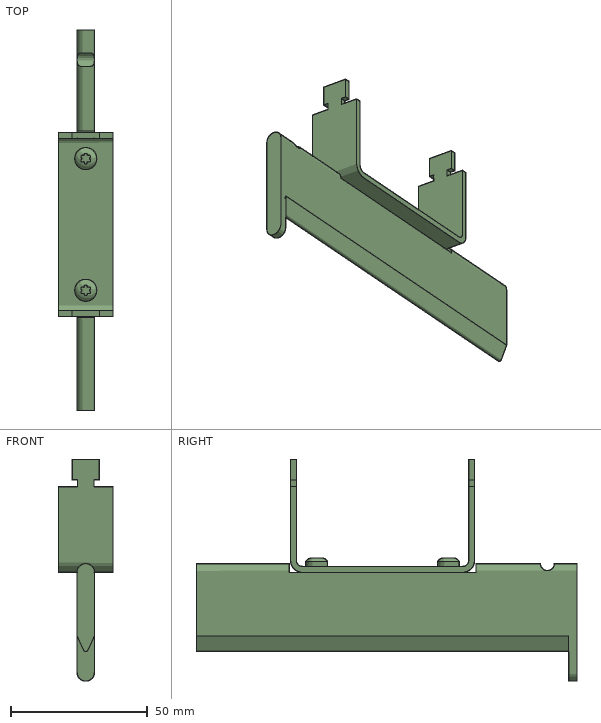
import cadquery as cq
import math

BAR_LENGTH = 139.0
BAR_WIDTH = 6.4
BAR_TOP = 43.0
BEVEL_TOP = 16.5
BEVEL_BOTTOM = 10.8
BEVEL_ANGLE = 25.0
LEG_THICKNESS = 3.0

NOTCH_RADIUS = 2.5
NOTCH_FROM_BACK = 10.8

BRACKET_WIDTH = 20.0
BRACKET_LENGTH = 67.3
BRACKET_CENTER = 68.0
SHEET = 2.2
BEND_RADIUS = 2.1
BRACKET_TOP = 81.0
SHOULDER_HEIGHT = 71.0
TAB_BOTTOM = 73.5
TAB_WIDTH = 10.0
NECK_WIDTH = 6.1
SEAT_CLEARANCE = 0.4

SCREW_SPACING = 48.1
HEAD_RADIUS = 4.0
HEAD_RIM = 1.7
HEAD_HEIGHT = 3.0
HEAD_FLAT_RADIUS = 2.1
DOME_BULGE = 0.21
SOCKET_RADIUS = 2.0
LOBE_RADIUS = 0.5
SOCKET_DEPTH = 1.7
LOBES = 6

HALF_WIDTH = BAR_WIDTH / 2
SEAT_HEIGHT = BAR_TOP - HALF_WIDTH
PLATE_TOP = SEAT_HEIGHT + SHEET


def make_bar():
    """Round-topped bar with a bevelled, rounded lower edge and a round-ended leg at the back."""
    sine = math.sin(math.radians(BEVEL_ANGLE))
    cosine = math.cos(math.radians(BEVEL_ANGLE))
    nose_radius = (HALF_WIDTH * cosine - (BEVEL_TOP - BEVEL_BOTTOM) * sine) / (1 - sine)
    tangent_x = nose_radius * cosine
    tangent_z = BEVEL_BOTTOM + nose_radius * (1 - sine)
    blade = (
        cq.Workplane("XZ")
        .moveTo(-HALF_WIDTH, BEVEL_TOP)
        .lineTo(-HALF_WIDTH, SEAT_HEIGHT)
        .threePointArc((0, BAR_TOP), (HALF_WIDTH, SEAT_HEIGHT))
        .lineTo(HALF_WIDTH, BEVEL_TOP)
        .lineTo(tangent_x, tangent_z)
        .threePointArc((0, BEVEL_BOTTOM), (-tangent_x, tangent_z))
        .close()
        .extrude(-BAR_LENGTH)
    )
    leg = (
        cq.Workplane("XZ", origin=(0, BAR_LENGTH, 0))
        .center(0, BAR_TOP / 2)
        .slot2D(BAR_TOP, BAR_WIDTH, 90)
        .extrude(LEG_THICKNESS)
    )
    return blade.union(leg)


def make_notch():
    """Cross groove in the bar's rounded top."""
    return (
        cq.Workplane("YZ")
        .center(BAR_LENGTH - NOTCH_FROM_BACK, BAR_TOP)
        .circle(NOTCH_RADIUS)
        .extrude(HALF_WIDTH, both=True)
    )


def make_seat():
    """Flat recess in the bar's top that receives the bracket."""
    return (
        cq.Workplane("XY", origin=(0, BRACKET_CENTER, SEAT_HEIGHT))
        .rect(BAR_WIDTH, BRACKET_LENGTH + 2 * SEAT_CLEARANCE)
        .extrude(HALF_WIDTH)
    )


def make_bracket():
    """Bent U-shaped sheet whose upright ends carry necked tabs."""
    height = BRACKET_TOP - SEAT_HEIGHT
    block = (
        cq.Workplane("XY", origin=(0, BRACKET_CENTER, SEAT_HEIGHT))
        .rect(BRACKET_WIDTH, BRACKET_LENGTH)
        .extrude(height)
        .edges("|X and <Z")
        .fillet(BEND_RADIUS + SHEET)
    )
    hollow = (
        cq.Workplane("XY", origin=(0, BRACKET_CENTER, PLATE_TOP))
        .rect(BRACKET_WIDTH, BRACKET_LENGTH - 2 * SHEET)
        .extrude(height)
        .edges("|X and <Z")
        .fillet(BEND_RADIUS)
    )
    bracket = block.cut(hollow)
    for side in (-1, 1):
        relief = (
            cq.Workplane("XZ", origin=(0, BRACKET_CENTER, 0))
            .moveTo(side * BRACKET_WIDTH / 2, SHOULDER_HEIGHT)
            .lineTo(side * NECK_WIDTH / 2, SHOULDER_HEIGHT)
            .lineTo(side * NECK_WIDTH / 2, TAB_BOTTOM)
            .lineTo(side * TAB_WIDTH / 2, TAB_BOTTOM)
            .lineTo(side * TAB_WIDTH / 2, BRACKET_TOP)
            .lineTo(side * BRACKET_WIDTH / 2, BRACKET_TOP)
            .close()
            .extrude(BRACKET_LENGTH / 2, both=True)
        )
        bracket = bracket.cut(relief)
    return bracket


def make_screw_head():
    """Domed head with a six-lobed socket, standing on the XY plane."""
    dome_middle = (
        (HEAD_RADIUS + HEAD_FLAT_RADIUS) / 2 + DOME_BULGE,
        (HEAD_RIM + HEAD_HEIGHT) / 2 + DOME_BULGE,
    )
    head = (
        cq.Workplane("XZ")
        .lineTo(HEAD_RADIUS, 0)
        .lineTo(HEAD_RADIUS, HEAD_RIM)
        .threePointArc(dome_middle, (HEAD_FLAT_RADIUS, HEAD_HEIGHT))
        .lineTo(0, HEAD_HEIGHT)
        .close()
        .revolve(360, (0, 0), (0, 1))
    )
    socket_plane = cq.Workplane("XY", origin=(0, 0, HEAD_HEIGHT))
    lobe_center_radius = SOCKET_RADIUS - LOBE_RADIUS
    core = socket_plane.circle(lobe_center_radius).extrude(-SOCKET_DEPTH)
    lobes = (
        socket_plane
        .polarArray(lobe_center_radius, 90, 360, LOBES)
        .circle(LOBE_RADIUS)
        .extrude(-SOCKET_DEPTH)
    )
    return head.cut(core.union(lobes))


result = make_bar().cut(make_notch()).cut(make_seat()).union(make_bracket())
for offset in (-SCREW_SPACING / 2, SCREW_SPACING / 2):
    result = result.union(make_screw_head().translate((0, BRACKET_CENTER + offset, PLATE_TOP)))